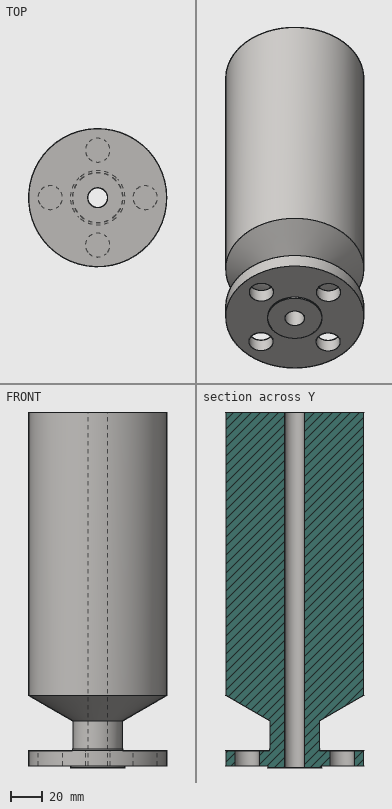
import cadquery as cq

total_height = 228.5
body_diameter = 89.0

flange_diameter = body_diameter
flange_thickness = 10.0
raised_face_diameter = 35.0
raised_face_height = 1.1

neck_diameter = 32.0
cone_bottom = 30.2
cone_top = 46.6
collar_diameter = 32.5
collar_height = 1.0

bore_diameter = 12.5
bolt_hole_diameter = 15.5
bolt_circle_diameter = 61.0
bolt_count = 4

flange_top = raised_face_height + flange_thickness
collar_top = flange_top + collar_height
body_radius = body_diameter / 2
flange_radius = flange_diameter / 2
neck_radius = neck_diameter / 2
collar_radius = collar_diameter / 2
raised_face_radius = raised_face_diameter / 2


def turned_body():
    """Half outline in the XZ plane, turned about the Z axis."""
    outline = (
        cq.Workplane("XZ")
        .moveTo(0, 0)
        .lineTo(raised_face_radius, 0)
        .lineTo(raised_face_radius, raised_face_height)
        .lineTo(flange_radius, raised_face_height)
        .lineTo(flange_radius, flange_top)
        .lineTo(collar_radius, flange_top)
        .lineTo(collar_radius, collar_top)
        .lineTo(neck_radius, collar_top)
        .lineTo(neck_radius, cone_bottom)
        .lineTo(body_radius, cone_top)
        .lineTo(body_radius, total_height)
        .lineTo(0, total_height)
        .close()
    )
    return outline.revolve(360, (0, 0, 0), (0, 1, 0))


def bore():
    """Central hole running the full height."""
    return cq.Workplane("XY").circle(bore_diameter / 2).extrude(total_height)


def bolt_holes():
    """Flange holes, one on each of the X and Y half axes."""
    return (
        cq.Workplane("XY")
        .polarArray(bolt_circle_diameter / 2, 0, 360, bolt_count)
        .circle(bolt_hole_diameter / 2)
        .extrude(flange_top)
    )


result = turned_body().cut(bore()).cut(bolt_holes())